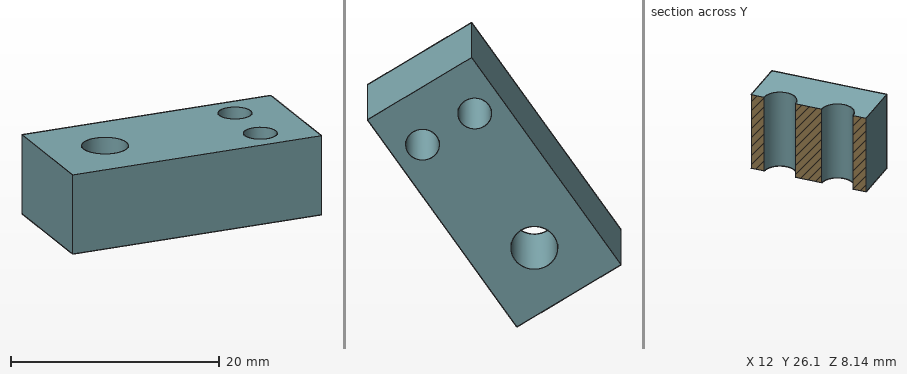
import cadquery as cq

width = 11.98
length = 26.15
height = 8.14

small_hole_diameter = 3.25
small_hole_spacing = 6.0
small_hole_back_margin = 5.1
large_hole_diameter = 4.5
hole_row_spacing = 15.0

small_hole_y = length / 2 - small_hole_back_margin
large_hole_y = small_hole_y - hole_row_spacing

block = cq.Workplane("XY").box(width, length, height)

result = (
    block.faces(">Z")
    .workplane(origin=(0, 0, 0))
    .pushPoints([(side * small_hole_spacing / 2, small_hole_y) for side in (-1, 1)])
    .hole(small_hole_diameter)
)

result = (
    result.faces(">Z")
    .workplane(origin=(0, 0, 0))
    .center(0, large_hole_y)
    .hole(large_hole_diameter)
)